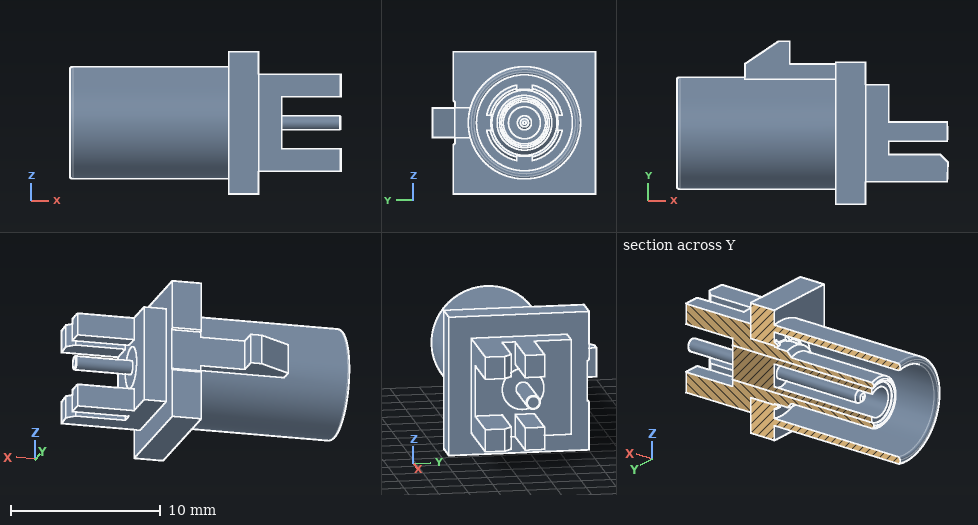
import cadquery as cq

length = 18.1
overall_width = 10.9

tube_radius = 3.75
tube_bore_radius = 3.2
rim_fillet = 0.18
plate_size = 9.5
plate_front = 10.59
plate_thickness = 2.01
plate_rear = plate_front + plate_thickness

latch_width = 2.0
latch_front = 4.55
latch_slope_end = 6.79
latch_hook_rear = 7.55
latch_arm_top = 4.63
latch_top = overall_width - plate_size / 2
notch_bottom_width = 2.72
notch_top_width = notch_bottom_width + 2 * (plate_size / 2 - latch_arm_top)

finger_length = 0.36
finger_base_radius = 2.57
finger_tip_radius = 2.33
finger_lead_in = 0.15
finger_gap = 1.01

sleeve_front = 2.19
sleeve_tip_radius = 1.83
sleeve_radius = 2.17
sleeve_rear_radius = 2.25
sleeve_shoulder_setback = 1.09
sleeve_shoulder = plate_front - sleeve_shoulder_setback
sleeve_taper_length = 0.36
sleeve_tip_chamfer = 0.16
shell_bore_radius = 1.41
mouth_chamfer = 0.13
base_size = 6.5
base_rear = 14.14
prong_height = 1.52
plain_prong_top = 0.76
plain_prong_bottom = -0.55
wide_prong_top = -1.41
prong_chamfer = 0.52
prong_end = 18.05

insulator_front = 2.37
insulator_cavity_radius = 1.07
insulator_cavity_rear = plate_front

pin_radius = 0.47
pin_front = 3.62
pin_rear = 18.06
pin_nose_length = 0.36
pin_nose_radius = 0.27
pin_tip_radius = 0.1
pin_tip_length = 0.09
pin_rear_chamfer = 0.05


def turned(points):
    """Solid of revolution about the X axis from (x, radius) points."""
    return cq.Workplane("XY").polyline(points).close().revolve(360, (0, 0, 0), (1, 0, 0))


def rod(radius, start, end):
    """Round bar along X."""
    return cq.Workplane("YZ").workplane(offset=start).circle(radius).extrude(end - start)


def block(x_range, y_range, z_range):
    """Box between the given limits."""
    limits = (x_range, y_range, z_range)
    sizes = [high - low for low, high in limits]
    lows = [low for low, high in limits]
    return cq.Workplane("XY").box(*sizes, centered=False).translate(tuple(lows))


def make_latch():
    outline = [
        (latch_front, 0),
        (latch_front, latch_arm_top),
        (latch_slope_end, latch_top),
        (latch_hook_rear, latch_top),
        (latch_hook_rear, latch_arm_top),
        (plate_front, latch_arm_top),
        (plate_front, 0),
    ]
    return cq.Workplane("XY").polyline(outline).close().extrude(latch_width / 2, both=True)


def make_plate():
    notch_outline = [
        (latch_arm_top, -notch_bottom_width / 2),
        (plate_size / 2, -notch_top_width / 2),
        (plate_size / 2, notch_top_width / 2),
        (latch_arm_top, notch_bottom_width / 2),
    ]
    face = cq.Workplane("YZ").workplane(offset=plate_front)
    plate = face.rect(plate_size, plate_size).extrude(plate_thickness)
    return plate.cut(face.polyline(notch_outline).close().extrude(plate_thickness))


def make_fingers():
    finger_front = plate_front - finger_length
    ring = turned([
        (plate_front, sleeve_radius),
        (finger_front + finger_lead_in, sleeve_radius),
        (finger_front, finger_tip_radius),
        (plate_front, finger_base_radius),
    ])
    ring_width = 2 * finger_base_radius
    face = cq.Workplane("YZ").workplane(offset=finger_front)
    for slot_size in [(ring_width, finger_gap), (finger_gap, ring_width)]:
        ring = ring.cut(face.rect(*slot_size).extrude(finger_length))
    return ring


def make_housing():
    tube = rod(tube_radius, 0, plate_front).union(make_latch())
    tube = tube.cut(rod(tube_bore_radius, 0, plate_front))
    tube = tube.faces("<X").edges().fillet(rim_fillet)
    plate = make_plate().cut(rod(sleeve_rear_radius, plate_front, plate_rear))
    return tube.union(plate).union(make_fingers())


def make_sleeve():
    return turned([
        (sleeve_front, shell_bore_radius + mouth_chamfer),
        (sleeve_front, sleeve_tip_radius - sleeve_tip_chamfer),
        (sleeve_front + sleeve_tip_chamfer, sleeve_tip_radius),
        (sleeve_shoulder - sleeve_taper_length, sleeve_tip_radius),
        (sleeve_shoulder, sleeve_radius),
        (plate_front, sleeve_radius),
        (plate_front, sleeve_rear_radius),
        (plate_rear, sleeve_rear_radius),
        (plate_rear, shell_bore_radius),
        (sleeve_front + mouth_chamfer, shell_bore_radius),
    ])


def make_prong_pair(side):
    """Plain prong and wide chamfered prong, on the upper (side = 1) or lower (side = -1) edge."""
    outer = side * base_size / 2
    inner = outer - side * prong_height
    z_range = sorted([inner, outer])
    plain = block((base_rear, prong_end), (plain_prong_bottom, plain_prong_top), z_range)
    wide_outline = [
        (base_rear, -base_size / 2),
        (prong_end, -base_size / 2),
        (length, wide_prong_top - prong_chamfer),
        (length - prong_chamfer, wide_prong_top),
        (base_rear, wide_prong_top),
    ]
    wide = cq.Workplane("XY").workplane(offset=z_range[0]).polyline(wide_outline).close()
    return plain.union(wide.extrude(prong_height))


def make_shell():
    base = cq.Workplane("YZ").workplane(offset=plate_rear).rect(base_size, base_size)
    shell = make_sleeve().union(base.extrude(base_rear - plate_rear))
    for side in (1, -1):
        shell = shell.union(make_prong_pair(side))
    return shell.cut(rod(shell_bore_radius, plate_rear, base_rear))


def make_insulator():
    plug = rod(shell_bore_radius, insulator_front, base_rear)
    plug = plug.cut(rod(insulator_cavity_radius, insulator_front, insulator_cavity_rear))
    return plug.cut(rod(pin_radius, insulator_cavity_rear, base_rear))


def make_pin():
    return turned([
        (pin_front, 0),
        (pin_front, pin_tip_radius),
        (pin_front + pin_tip_length, pin_nose_radius),
        (pin_front + pin_nose_length, pin_radius),
        (pin_rear - pin_rear_chamfer, pin_radius),
        (pin_rear, pin_radius - pin_rear_chamfer),
        (pin_rear, 0),
    ])


housing = make_housing()
shell = make_shell()
insulator = make_insulator()
pin = make_pin()

result = cq.Compound.makeCompound([housing.val(), shell.val(), insulator.val(), pin.val()])